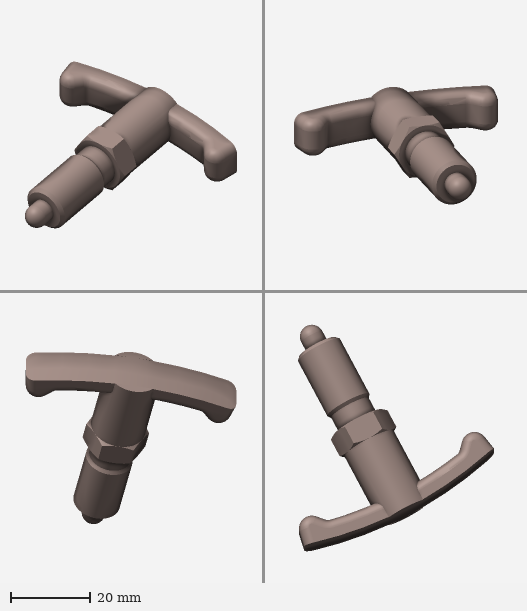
import cadquery as cq
import math

TOTAL_LENGTH = 54.0

HUB_DIAMETER = 14.0
HUB_LENGTH = 20.0
GRIP_SPAN = 54.0
GRIP_WIDTH = 10.0
GRIP_THICKNESS = 5.0
CROWN_RADIUS = 100.0
GRIP_ROUND = 2.55
LOBE_RADIUS = 3.25
LOBE_X = 23.1
LOBE_Y = -6.95
LEG_ANGLE = math.radians(48)
ELBOW_RADIUS = 1.85

HEX_ACROSS_FLATS = HUB_DIAMETER
HEX_LENGTH = 6.0
HEX_CHAMFER_ANGLE = math.radians(30)
NECK_RADIUS = 5.35
NECK_LENGTH = 4.4
THREAD_RADIUS = 6.0
THREAD_END = 48.0
THREAD_CHAMFER = 0.85
PIN_RADIUS = 2.995


def grip_outline():
    """Closed grip profile in XY, crowned on top with a hooked lobe at each end."""
    half_span = GRIP_SPAN / 2
    under_radius = CROWN_RADIUS - GRIP_THICKNESS

    corner_y = math.sqrt(CROWN_RADIUS**2 - half_span**2) - CROWN_RADIUS
    to_corner_x = half_span - LOBE_X
    to_corner_y = corner_y - LOBE_Y
    corner_distance = math.hypot(to_corner_x, to_corner_y)
    tangent_angle = math.atan2(to_corner_y, to_corner_x) - math.acos(LOBE_RADIUS / corner_distance)

    def on_lobe(angle):
        return (LOBE_X + LOBE_RADIUS * math.cos(angle), LOBE_Y + LOBE_RADIUS * math.sin(angle))

    normal_angle = -math.pi / 2 - LEG_ANGLE
    normal_x = math.cos(normal_angle)
    normal_y = math.sin(normal_angle)
    leg_x = -math.cos(LEG_ANGLE)
    leg_y = math.sin(LEG_ANGLE)

    start_x = LOBE_X + (LOBE_RADIUS + ELBOW_RADIUS) * normal_x
    start_y = LOBE_Y + (LOBE_RADIUS + ELBOW_RADIUS) * normal_y + CROWN_RADIUS
    along = start_x * leg_x + start_y * leg_y
    excess = start_x**2 + start_y**2 - (under_radius - ELBOW_RADIUS) ** 2
    leg_length = -along + math.sqrt(along**2 - excess)
    elbow_x = start_x + leg_length * leg_x
    elbow_y = start_y + leg_length * leg_y - CROWN_RADIUS

    def on_elbow(angle):
        return (elbow_x + ELBOW_RADIUS * math.cos(angle), elbow_y + ELBOW_RADIUS * math.sin(angle))

    leg_end_angle = normal_angle + math.pi
    under_angle = math.atan2(elbow_y + CROWN_RADIUS, elbow_x)
    elbow_start = on_elbow(leg_end_angle)
    elbow_middle = on_elbow((leg_end_angle + under_angle) / 2)
    elbow_end = on_elbow(under_angle)
    lobe_start = on_lobe(tangent_angle)
    lobe_middle = on_lobe((tangent_angle + normal_angle) / 2)
    lobe_end = on_lobe(normal_angle)

    def mirrored(point):
        return (-point[0], point[1])

    return (
        cq.Workplane("XY")
        .workplane(offset=-GRIP_WIDTH / 2)
        .moveTo(-half_span, corner_y)
        .threePointArc((0, 0), (half_span, corner_y))
        .lineTo(*lobe_start)
        .threePointArc(lobe_middle, lobe_end)
        .lineTo(*elbow_start)
        .threePointArc(elbow_middle, elbow_end)
        .threePointArc((0, -GRIP_THICKNESS), mirrored(elbow_end))
        .threePointArc(mirrored(elbow_middle), mirrored(elbow_start))
        .lineTo(*mirrored(lobe_end))
        .threePointArc(mirrored(lobe_middle), mirrored(lobe_start))
        .close()
    )


def make_handle():
    """T-grip joined to its cylindrical hub."""
    grip = grip_outline().extrude(GRIP_WIDTH)
    rim = grip.faces("|Z").edges().filter(lambda edge: edge.positionAt(0.5).y < -GRIP_THICKNESS / 2)
    grip = grip.newObject(rim.vals()).fillet(GRIP_ROUND)
    hub = cq.Workplane("XZ").circle(HUB_DIAMETER / 2).extrude(HUB_LENGTH)
    relief = (
        cq.Workplane("XY")
        .box(HUB_DIAMETER, GRIP_THICKNESS / 2, GRIP_WIDTH)
        .translate((0, -GRIP_THICKNESS / 4, 0))
    )
    return hub.cut(relief).union(grip)


def make_hexagon():
    """Hexagonal collar with both ends chamfered by a cone."""
    flat_radius = HEX_ACROSS_FLATS / 2
    corner_radius = flat_radius / math.cos(math.pi / 6)
    chamfer_height = (corner_radius - flat_radius) * math.tan(HEX_CHAMFER_ANGLE)
    start = -HUB_LENGTH
    end = start - HEX_LENGTH
    prism = cq.Workplane("XZ", origin=(0, start, 0)).polygon(6, 2 * corner_radius).extrude(HEX_LENGTH)
    envelope = (
        cq.Workplane("XY")
        .polyline([
            (0, start),
            (flat_radius, start),
            (corner_radius, start - chamfer_height),
            (corner_radius, end + chamfer_height),
            (flat_radius, end),
            (0, end),
        ])
        .close()
        .revolve(360, (0, 0), (0, 1))
    )
    return prism.intersect(envelope)


def make_plunger():
    """Hexagonal collar, neck, threaded barrel and round-nosed pin on one axis."""
    neck_start = -HUB_LENGTH - HEX_LENGTH
    neck_end = neck_start - NECK_LENGTH
    nose_start = -TOTAL_LENGTH + PIN_RADIUS
    nose_middle = PIN_RADIUS * math.sqrt(0.5)
    shaft = (
        cq.Workplane("XY")
        .moveTo(0, neck_start)
        .lineTo(NECK_RADIUS, neck_start)
        .lineTo(NECK_RADIUS, neck_end)
        .lineTo(THREAD_RADIUS, neck_end - THREAD_CHAMFER)
        .lineTo(THREAD_RADIUS, -THREAD_END + THREAD_CHAMFER)
        .lineTo(THREAD_RADIUS - THREAD_CHAMFER, -THREAD_END)
        .lineTo(PIN_RADIUS, -THREAD_END)
        .lineTo(PIN_RADIUS, nose_start)
        .threePointArc((nose_middle, nose_start - nose_middle), (0, -TOTAL_LENGTH))
        .close()
        .revolve(360, (0, 0), (0, 1))
    )
    return make_hexagon().union(shaft)


handle = make_handle()
plunger = make_plunger()
result = cq.Compound.makeCompound([handle.solids().val(), plunger.solids().val()])